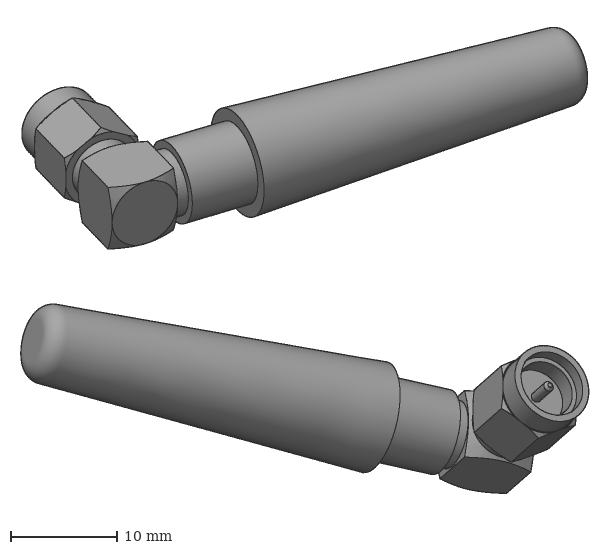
import cadquery as cq
import math


bevel_angle = 30
bevel_slope = math.tan(math.radians(bevel_angle))

block_size = 7.0
block_offset_x = -0.08
coupling_neck_radius = 3.2
antenna_neck_radius = 3.3
antenna_neck_length = 1.2

nut_front_x = -13.91
nut_back_x = -5.1
collar_length = 2.55
nut_across_flats = 7.8
collar_radius = nut_across_flats / 2
nut_corner_radius = collar_radius / math.cos(math.pi / 6)
nut_end_radius = 4.0

mouth_radius = 3.25
mouth_depth = 1.3
socket_radius = 2.8
socket_depth = 3.3
pin_radius = 0.5
pin_tip_radius = 0.22
pin_tip_length = 0.3
pin_setback = 0.4

ferrule_radius = 4.1
ferrule_length = 7.0
whip_base_radius = 5.35
whip_tip_radius = 3.85
overall_length = 51.65
cap_rounding = 1.7

half_block = block_size / 2
block_front_x = block_offset_x - half_block
block_back_x = block_offset_x + half_block
antenna_start_y = half_block + antenna_neck_length
whip_base_y = antenna_start_y + ferrule_length
antenna_end_y = overall_length - nut_across_flats / 2
whip_tip_y = antenna_end_y - cap_rounding


def revolve_about_x(points):
    """Solid of revolution about X from (x, radius) points."""
    return cq.Workplane("XY").polyline(points).close().revolve(360, (0, 0, 0), (1, 0, 0))


def rod_along_x(start_x, end_x, radius):
    """Round rod on the X axis."""
    return cq.Workplane("YZ", origin=(start_x, 0, 0)).circle(radius).extrude(end_x - start_x)


def make_elbow_block():
    """Cube whose X ends are bevelled by cones about the X axis."""
    corner_radius = half_block * math.sqrt(2)
    front_depth = (corner_radius - coupling_neck_radius) * bevel_slope
    back_depth = (corner_radius - half_block) * bevel_slope
    envelope = revolve_about_x([
        (block_front_x, 0),
        (block_front_x, coupling_neck_radius),
        (block_front_x + front_depth, corner_radius),
        (block_back_x - back_depth, corner_radius),
        (block_back_x, half_block),
        (block_back_x, 0),
    ])
    cube = cq.Workplane("XY", origin=(block_offset_x, 0, 0)).box(block_size, block_size, block_size)
    return cube.intersect(envelope)


def make_nut():
    """Hexagon with bevelled ends and a round collar in front, corners pointing up and down."""
    hex_front_x = nut_front_x + collar_length
    bevel_length = (nut_corner_radius - nut_end_radius) * bevel_slope
    hexagon = (
        cq.Workplane("YZ", origin=(hex_front_x, 0, 0))
        .polygon(6, 2 * nut_corner_radius)
        .extrude(nut_back_x - hex_front_x)
        .rotate((0, 0, 0), (1, 0, 0), 90)
    )
    envelope = revolve_about_x([
        (hex_front_x, 0),
        (hex_front_x, nut_end_radius),
        (hex_front_x + bevel_length, nut_corner_radius),
        (nut_back_x - bevel_length, nut_corner_radius),
        (nut_back_x, nut_end_radius),
        (nut_back_x, 0),
    ])
    collar = rod_along_x(nut_front_x, hex_front_x, collar_radius)
    return hexagon.intersect(envelope).union(collar)


def make_socket():
    """Stepped bore that opens at the front of the nut."""
    mouth = rod_along_x(nut_front_x, nut_front_x + mouth_depth, mouth_radius)
    bore = rod_along_x(nut_front_x, nut_front_x + socket_depth, socket_radius)
    return mouth.union(bore)


def make_pin():
    """Centre pin with a conical tip, standing on the socket floor."""
    tip_x = nut_front_x + pin_setback
    floor_x = nut_front_x + socket_depth
    return revolve_about_x([
        (tip_x, 0),
        (tip_x, pin_tip_radius),
        (tip_x + pin_tip_length, pin_radius),
        (floor_x, pin_radius),
        (floor_x, 0),
    ])


def make_connector():
    """Right-angle connector: block, both necks, nut, socket and pin."""
    coupling_neck = rod_along_x(nut_back_x, block_front_x, coupling_neck_radius)
    antenna_neck = (
        cq.Workplane("XZ", origin=(0, half_block, 0))
        .circle(antenna_neck_radius)
        .extrude(-antenna_neck_length)
    )
    return (
        make_elbow_block()
        .union(antenna_neck)
        .union(coupling_neck)
        .union(make_nut())
        .cut(make_socket())
        .union(make_pin())
    )


def make_antenna():
    """Ferrule and tapered whip with a rounded tip, revolved about Y."""
    return (
        cq.Workplane("XY")
        .moveTo(0, antenna_start_y)
        .lineTo(ferrule_radius, antenna_start_y)
        .lineTo(ferrule_radius, whip_base_y)
        .lineTo(whip_base_radius, whip_base_y)
        .lineTo(whip_tip_radius, whip_tip_y)
        .radiusArc((whip_tip_radius - cap_rounding, antenna_end_y), -cap_rounding)
        .lineTo(0, antenna_end_y)
        .close()
        .revolve(360, (0, 0, 0), (0, 1, 0))
    )


connector = make_connector()
antenna = make_antenna()

result = cq.Compound.makeCompound([connector.val(), antenna.val()])